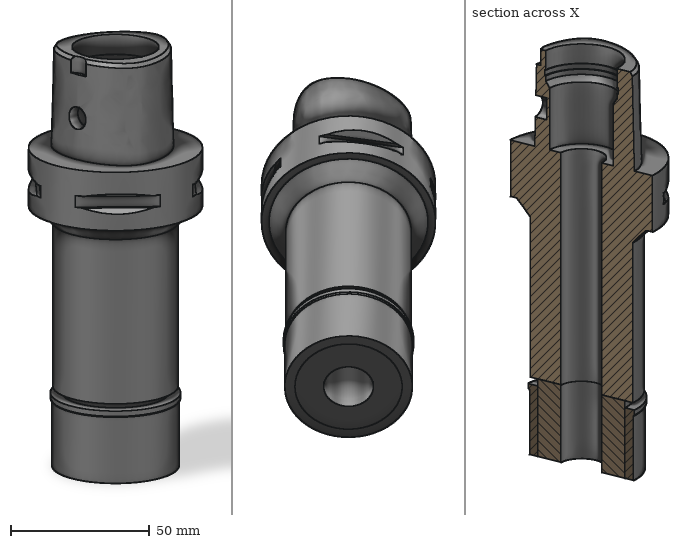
import cadquery as cq
import math

total_length = 158.0
gauge_face_z = 120.0
flange_bottom_z = 98.0
shank_end_z = 30.0
nut_top_z = 27.5

polygon_diameter = 44.3
polygon_lobe = 1.4
polygon_taper = 1 / 20
polygon_chamfer_height = 1.5
polygon_chamfer_width = 1.0
polygon_points = 60

flange_radius = 31.5
flange_cone_radius = 28.75
shank_radius = 22.75

flat_count = 4
flat_start_angle = 45.0
flat_distance = 27.5
flat_mid_z = 108.0
flat_wall_distance = 28.8
flat_height = 4.4
flat_mouth_height = 7.6

mouth_radius = 15.7
mouth_depth = 11.8
groove_radius = 16.2
groove_top_depth = 7.6
groove_bottom_depth = 9.8
cavity_radius = 14.0
cavity_cone_depth = 14.1
through_radius = 9.0

notch_width = 7.3
notch_depth = 6.2
notch_sagitta = 1.3
notch_edge_y = -19.4
coding_hole_diameter = 8.3
coding_hole_z = 135.5
coding_hole_floor_y = -15.5

sleeve_radius = 19.4
nut_radius = 23.1
nut_collar_radius = 23.6
nut_collar_height = 2.0


def revolve_profile(profile):
    """Solid of revolution about Z from (radius, height) points."""
    return cq.Workplane("XZ").polyline(profile).close().revolve(360, (0, 0, 0), (0, 1, 0))


def tube(outer_radius, inner_radius, bottom_z, top_z):
    ring = cq.Workplane("XY").workplane(offset=bottom_z).circle(outer_radius).circle(inner_radius)
    return ring.extrude(top_z - bottom_z)


def polygon_wire(diameter, z):
    """Constant-width three-lobed curve with one lobe toward +Y."""
    points = []
    for i in range(polygon_points):
        angle = 2 * math.pi * i / polygon_points - math.pi / 2
        swing = 3 * (angle - math.pi / 2)
        reach = diameter / 2 + polygon_lobe * math.cos(swing)
        slide = -3 * polygon_lobe * math.sin(swing)
        x = reach * math.cos(angle) - slide * math.sin(angle)
        y = reach * math.sin(angle) + slide * math.cos(angle)
        points.append(cq.Vector(x, y, z))
    return cq.Wire.assembleEdges([cq.Edge.makeSpline(points, periodic=True)])


def polygon_taper_shank():
    chamfer_z = total_length - polygon_chamfer_height
    chamfer_diameter = polygon_diameter - polygon_taper * (chamfer_z - gauge_face_z)
    tip_diameter = chamfer_diameter - 2 * polygon_chamfer_width
    base = polygon_wire(polygon_diameter, gauge_face_z)
    shoulder = polygon_wire(chamfer_diameter, chamfer_z)
    tip = polygon_wire(tip_diameter, total_length)
    taper = cq.Solid.makeLoft([base, shoulder], True)
    chamfer = cq.Solid.makeLoft([shoulder, tip], True)
    return cq.Workplane(taper).union(cq.Workplane(chamfer))


def flange_and_shank():
    cone_bottom_z = flange_bottom_z - (flange_cone_radius - shank_radius)
    return revolve_profile([
        (0, gauge_face_z),
        (flange_radius, gauge_face_z),
        (flange_radius, flange_bottom_z),
        (flange_cone_radius, flange_bottom_z),
        (shank_radius, cone_bottom_z),
        (shank_radius, shank_end_z),
        (0, shank_end_z),
    ])


def gripper_flat_cutter(angle):
    """Slot across the flange with a flat floor, short side walls and a flared mouth."""
    slot = (
        cq.Workplane("XZ")
        .moveTo(flat_distance, flat_mid_z - flat_height / 2)
        .lineTo(flat_distance, flat_mid_z + flat_height / 2)
        .lineTo(flat_wall_distance, flat_mid_z + flat_height / 2)
        .lineTo(flange_radius, flat_mid_z + flat_mouth_height / 2)
        .lineTo(flange_radius, flat_mid_z - flat_mouth_height / 2)
        .lineTo(flat_wall_distance, flat_mid_z - flat_height / 2)
        .close()
        .extrude(flange_radius, both=True)
    )
    return slot.rotate((0, 0, 0), (0, 0, 1), angle)


def cavity_cutter():
    """Stepped bore with a snap groove, a conical step and a through hole."""
    return revolve_profile([
        (0, total_length),
        (mouth_radius, total_length),
        (mouth_radius, total_length - groove_top_depth),
        (groove_radius, total_length - groove_top_depth),
        (groove_radius, total_length - groove_bottom_depth),
        (mouth_radius, total_length - groove_bottom_depth),
        (mouth_radius, total_length - mouth_depth),
        (cavity_radius, total_length - cavity_cone_depth),
        (cavity_radius, gauge_face_z),
        (through_radius, gauge_face_z),
        (through_radius, shank_end_z),
        (0, shank_end_z),
    ])


def notch_cutter():
    """Notch at the taper's mouth with a concave back wall."""
    half_width = notch_width / 2
    return (
        cq.Workplane("XY")
        .workplane(offset=total_length - notch_depth)
        .moveTo(-half_width, notch_edge_y)
        .threePointArc((0, notch_edge_y + notch_sagitta), (half_width, notch_edge_y))
        .lineTo(half_width, -polygon_diameter / 2)
        .lineTo(-half_width, -polygon_diameter / 2)
        .close()
        .extrude(notch_depth)
    )


def coding_hole_cutter():
    return (
        cq.Workplane("XZ", origin=(0, coding_hole_floor_y, coding_hole_z))
        .circle(coding_hole_diameter / 2)
        .extrude(polygon_diameter / 2 + coding_hole_floor_y)
    )


def build_holder():
    body = flange_and_shank().union(polygon_taper_shank())
    for i in range(flat_count):
        body = body.cut(gripper_flat_cutter(flat_start_angle + i * 360 / flat_count))
    return body.cut(cavity_cutter()).cut(notch_cutter()).cut(coding_hole_cutter())


def build_sleeve():
    """Collet sleeve that bridges the gap between the shank and the nut."""
    return tube(sleeve_radius, through_radius, 0, shank_end_z)


def build_nut():
    """Clamping nut with a collar that chamfers down to the nut's outside."""
    collar_bottom_z = nut_top_z - nut_collar_height
    collar_chamfer = nut_collar_radius - nut_radius
    return revolve_profile([
        (sleeve_radius, 0),
        (nut_radius, 0),
        (nut_radius, collar_bottom_z - collar_chamfer),
        (nut_collar_radius, collar_bottom_z),
        (nut_collar_radius, nut_top_z),
        (sleeve_radius, nut_top_z),
    ])


holder = build_holder()
sleeve = build_sleeve()
nut = build_nut()
result = cq.Compound.makeCompound([holder.val(), sleeve.val(), nut.val()])